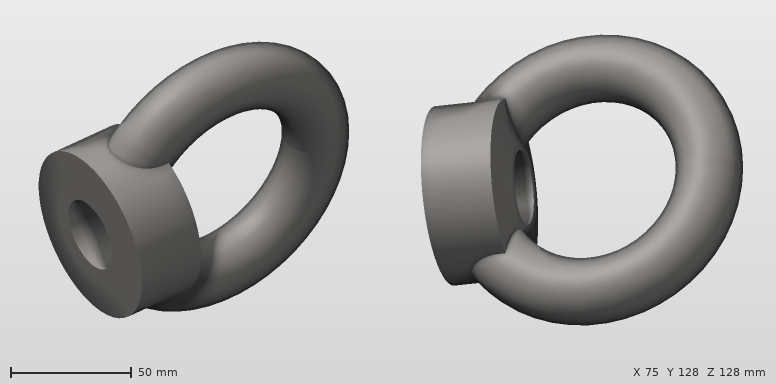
import cadquery as cq


ring_outer_diameter = 128.0
ring_bar_diameter = 28.0
ring_outer_radius = ring_outer_diameter / 2
ring_bar_radius = ring_bar_diameter / 2
ring_center_radius = ring_outer_radius - ring_bar_radius

boss_radius = 75.0 / 2
boss_height = 34.0
boss_straight_height = 30.0
boss_top_radius = 18.7
boss_face_y = -ring_outer_radius

sleeve_outer_radius = 36.0 / 2
sleeve_bore_radius = 31.4 / 2


def cylinder_along_boss(radius):
    """Cylinder on the boss axis, from the boss face to the boss top."""
    face_plane = cq.Workplane("XZ", origin=(0, boss_face_y, 0))
    return face_plane.circle(radius).extrude(-boss_height)


def make_ring():
    """Round bar bent into a full circle about the X axis."""
    bar_section = cq.Workplane("XY").center(0, ring_center_radius).circle(ring_bar_radius)
    return bar_section.revolve(360, (0, -ring_center_radius), (1, -ring_center_radius))


def make_boss():
    """Boss profile revolved about the Y axis."""
    shoulder_y = boss_face_y + boss_straight_height
    top_y = boss_face_y + boss_height
    profile = (
        cq.Workplane("XY")
        .moveTo(0, boss_face_y)
        .lineTo(boss_radius, boss_face_y)
        .lineTo(boss_radius, shoulder_y)
        .lineTo(boss_top_radius, top_y)
        .lineTo(0, top_y)
        .close()
    )
    return profile.revolve(360, (0, 0), (0, 1))


def make_eye():
    """Ring and boss as one body, bored through to hold the sleeve."""
    return make_ring().union(make_boss()).cut(cylinder_along_boss(sleeve_outer_radius))


def make_sleeve():
    """Plain tube that fills the boss bore."""
    return cylinder_along_boss(sleeve_outer_radius).cut(cylinder_along_boss(sleeve_bore_radius))


eye = make_eye()
sleeve = make_sleeve()

result = cq.Compound.makeCompound([eye.solids().val(), sleeve.solids().val()])